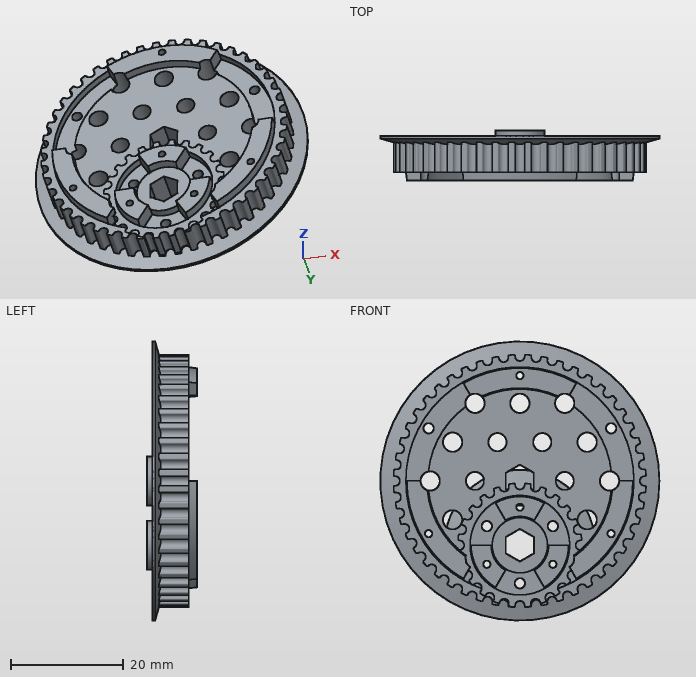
import cadquery as cq
import math


belt_pitch = 3.0
large_teeth = 48
small_teeth = 24
tip_below_pitch_line = 0.38
groove_depth = 1.14
groove_radius = 0.85
tip_round = 0.25

flange_beyond_pitch_line = 2.0
flange_edge_thickness = 0.5
flange_root_thickness = 1.5

body_thickness = 6.5
hub_height = 1.0
coupling_depth = 1.5

hub_diameter = 8.8
hex_across_flats = 5.0

sector_angle = 60.0
lug_starts = (60.0, 180.0, 300.0)
pocket_starts = (0.0, 120.0, 240.0)
ring_inset_from_root = 1.05
ring_width = 3.95
lug_side_inset = 0.2
lug_hole_diameter = 1.25
pocket_hole_diameter = 1.8
large_screw_inset = 1.55
small_screw_inset = 2.09

cutter_margin = 1.0

hole_pitch = 8.0
hole_row_height = hole_pitch * math.sin(math.radians(60))
inner_hole_diameter = 3.2
outer_hole_diameter = 3.4


def pitch_radius(teeth):
    return teeth * belt_pitch / (2 * math.pi)


def rim_radius(teeth):
    return pitch_radius(teeth) + flange_beyond_pitch_line


def tip_radius(teeth):
    return pitch_radius(teeth) - tip_below_pitch_line


def root_radius(teeth):
    return tip_radius(teeth) - groove_depth


def ring_outer_radius(teeth):
    return root_radius(teeth) - ring_inset_from_root


def ring_inner_radius(teeth):
    return ring_outer_radius(teeth) - ring_width


def face_plane(y):
    """Sketch plane parallel to XZ at the given Y, extruding towards +Y; its local y points to -Z."""
    return cq.Workplane(cq.Plane(origin=(0, y, 0), xDir=(1, 0, 0), normal=(0, 1, 0)))


def polar(radius, angle):
    """Point in the X-Z plane, the angle measured from +X towards +Z, in face_plane coordinates."""
    return (radius * math.cos(math.radians(angle)), -radius * math.sin(math.radians(angle)))


def disc(radius, y_front, y_back):
    return face_plane(y_front).circle(radius).extrude(y_back - y_front)


def round_holes(points, diameter, y_front, y_back):
    return face_plane(y_front).pushPoints(points).circle(diameter / 2).extrude(y_back - y_front)


def toothed_body(teeth):
    """Round-grooved belt teeth with one groove centred at the top."""
    tip = tip_radius(teeth)
    root = root_radius(teeth)
    corner = groove_radius + tip_round
    corner_radius = math.sqrt(tip ** 2 - corner ** 2)
    fillet_mid = tip_round * math.sin(math.radians(45))
    step = 360 / teeth

    def groove_point(radial, across, angle):
        turn = math.radians(angle)
        x = radial * math.cos(turn) - across * math.sin(turn)
        z = radial * math.sin(turn) + across * math.cos(turn)
        return (x, -z)

    wall_top = corner_radius - tip_round
    mid_radial = wall_top + fillet_mid
    mid_across = corner - fillet_mid
    outline = face_plane(0).moveTo(*groove_point(corner_radius, -corner, 90))
    for index in range(teeth):
        angle = 90 + index * step
        outline = (
            outline
            .threePointArc(groove_point(mid_radial, -mid_across, angle),
                           groove_point(wall_top, -groove_radius, angle))
            .lineTo(*groove_point(root + groove_radius, -groove_radius, angle))
            .threePointArc(groove_point(root, 0, angle),
                           groove_point(root + groove_radius, groove_radius, angle))
            .lineTo(*groove_point(wall_top, groove_radius, angle))
            .threePointArc(groove_point(mid_radial, mid_across, angle),
                           groove_point(corner_radius, corner, angle))
            .threePointArc(polar(tip, angle + step / 2),
                           groove_point(corner_radius, -corner, angle + step))
        )
    return outline.close().extrude(body_thickness)


def flange(teeth):
    """Thin rim whose front face tapers back outwards, starting at the groove roots."""
    rim = rim_radius(teeth)
    root = root_radius(teeth)
    edge_front = body_thickness - flange_edge_thickness
    cone_front = body_thickness - flange_root_thickness
    return (
        cq.Workplane("XY")
        .moveTo(0, cone_front)
        .lineTo(root, cone_front)
        .lineTo(rim, edge_front)
        .lineTo(rim, body_thickness)
        .lineTo(0, body_thickness)
        .close()
        .revolve(360, (0, 0, 0), (0, 1, 0))
    )


def ring_sector(inner, outer, start):
    """Ring sector outline in the tooth front face, spanning one sector angle."""
    middle = start + sector_angle / 2
    end = start + sector_angle
    return (
        face_plane(0)
        .moveTo(*polar(inner, start))
        .lineTo(*polar(outer, start))
        .threePointArc(polar(outer, middle), polar(outer, end))
        .lineTo(*polar(inner, end))
        .threePointArc(polar(inner, middle), polar(inner, start))
        .close()
    )


def tapered_ring(teeth):
    """Ring in front of the face whose two round sides lean towards each other."""
    inner = ring_inner_radius(teeth)
    outer = ring_outer_radius(teeth)
    return (
        cq.Workplane("XY")
        .moveTo(inner, 0)
        .lineTo(outer, 0)
        .lineTo(outer - lug_side_inset, -coupling_depth)
        .lineTo(inner + lug_side_inset, -coupling_depth)
        .close()
        .revolve(360, (0, 0, 0), (0, 1, 0))
    )


def lugs(teeth):
    sectors = cq.Workplane("XZ")
    for start in lug_starts:
        sector = ring_sector(
            ring_inner_radius(teeth) - cutter_margin, ring_outer_radius(teeth) + cutter_margin, start
        )
        sectors = sectors.add(sector.extrude(-coupling_depth))
    return tapered_ring(teeth).intersect(sectors.combine())


def pulley_blank(teeth):
    """Pulley without any holes or pockets."""
    hub = disc(hub_diameter / 2, body_thickness, body_thickness + hub_height)
    return toothed_body(teeth).union(flange(teeth)).union(hub).union(lugs(teeth))


def pulley_openings(teeth, screw_inset):
    """Hexagonal bore, coupling pockets and the screw holes in lugs and pockets."""
    bore_length = body_thickness + hub_height
    hex_diameter = hex_across_flats / math.cos(math.radians(30))
    openings = (
        face_plane(0)
        .transformed(rotate=(0, 0, 90))
        .polygon(6, hex_diameter)
        .extrude(bore_length)
    )
    for start in pocket_starts:
        sector = ring_sector(ring_inner_radius(teeth), ring_outer_radius(teeth), start)
        openings = openings.union(sector.extrude(coupling_depth))
    screw_radius = ring_outer_radius(teeth) - screw_inset
    for starts, diameter in ((lug_starts, lug_hole_diameter), (pocket_starts, pocket_hole_diameter)):
        points = [polar(screw_radius, start + sector_angle / 2) for start in starts]
        openings = openings.union(round_holes(points, diameter, -coupling_depth, body_thickness))
    return openings


def lightening_holes():
    """Two hexagons of holes around the bore; the inner one is slightly smaller."""
    inner_points = [polar(hole_pitch, 60 * index) for index in range(6)]
    outer_points = [polar(2 * hole_pitch, 60 * index) for index in range(6)]
    outer_points += [polar(2 * hole_row_height, 30 + 60 * index) for index in range(6)]
    inner = round_holes(inner_points, inner_hole_diameter, -coupling_depth, body_thickness)
    outer = round_holes(outer_points, outer_hole_diameter, -coupling_depth, body_thickness)
    return inner.union(outer)


def kept_rim():
    """Flange layer of the large pulley outside its coupling ring, never given up to the small pulley."""
    front = body_thickness - flange_root_thickness
    outside = disc(rim_radius(large_teeth) + cutter_margin, front, body_thickness)
    return outside.cut(disc(ring_outer_radius(large_teeth), front, body_thickness))


small_offset = (0, 0, pitch_radius(small_teeth) - pitch_radius(large_teeth))

small_blank = pulley_blank(small_teeth).translate(small_offset).cut(kept_rim())

small_pulley = small_blank.cut(pulley_openings(small_teeth, small_screw_inset).translate(small_offset))

large_pulley = (
    pulley_blank(large_teeth)
    .cut(pulley_openings(large_teeth, large_screw_inset))
    .cut(lightening_holes())
    .cut(small_blank)
)

result = cq.Compound.makeCompound([*large_pulley.solids().vals(), *small_pulley.solids().vals()])